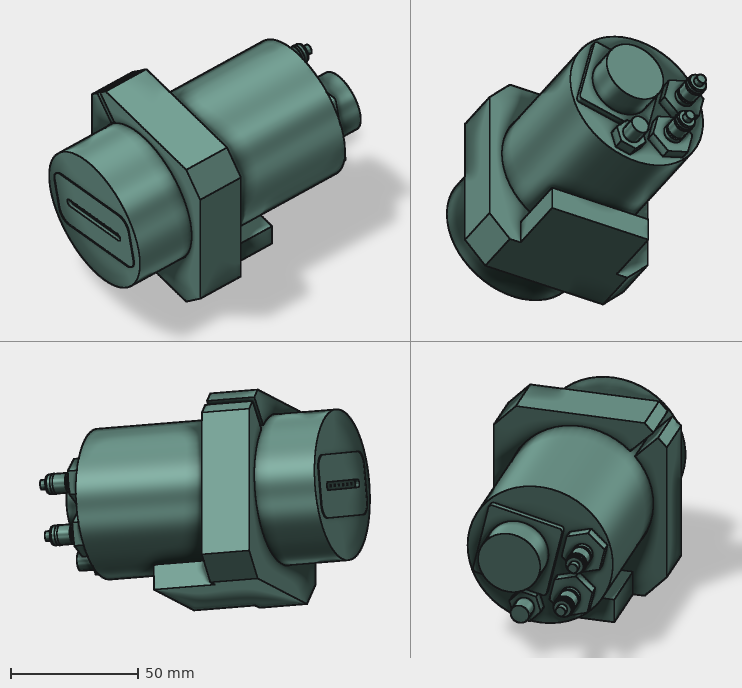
import cadquery as cq
import math

TOTAL_LENGTH = 120.1
TILT = 13.0

HOUSING_DIAMETER = 59.7
BARREL_FRONT = 0.4
BARREL_BACK = 101.3
PLATE_LENGTH = 50.0
PLATE_HEIGHT = 25.0
PLATE_CORNER_RADIUS = 5.5
SLOT_LENGTH = 35.5
SLOT_WIDTH = 3.2
SLOT_DEPTH = 1.7
PINHOLE_COUNT = 7
PINHOLE_PITCH = 4.6
PINHOLE_DIAMETER = 0.76
PINHOLE_DEPTH = 1.2

SOCKET_X = 8.8
FLANGE_SIZE = 31.0
FLANGE_CORNER_RADIUS = 1.5
FLANGE_THICKNESS = 2.5
SOCKET_DIAMETER = 25.5
SOCKET_REACH = 14.2

CONNECTOR_PLACES = [(-17.2, 9.6), (-16.7, -10.7)]
NUT_ACROSS_FLATS = 16.0
NUT_THICKNESS = 4.3
NUT_TURN = 30.0
CONNECTOR_DIAMETER = 7.9
NECK_DIAMETER = 4.8
NECK_EDGE_DIAMETER = 5.3
NECK_START = 6.4
NECK_END = 7.5
BEAD_DIAMETER = 8.2
BEAD_START = 12.7
BEAD_END = 13.8
NOSE_START = 15.2
NOSE_END = 16.0
NOSE_DIAMETER = 7.2
TIP_DIAMETER = 4.0
TIP_END = TOTAL_LENGTH - BARREL_BACK

PLUG_Z = -21.7
PLUG_DIAMETER = 7.6
PLUG_REACH = 11.9
PLUG_BASE_ACROSS_FLATS = 11.5
PLUG_BASE_THICKNESS = 4.6

CLAMP_WIDTH = 71.1
CLAMP_HEIGHT = 76.0
CLAMP_FRONT = 25.7
CLAMP_THICKNESS = 20.0
CLAMP_DROP = 2.9
CORNER_X = 9.1
CORNER_Z = 9.5
BORE_CLEARANCE = 0.4
BORE_DIAMETER = HOUSING_DIAMETER + BORE_CLEARANCE
SPLIT_WIDTH = 2.8
SPLIT_ANGLE = -45.0
SPLIT_LENGTH = 30.0
FOOT_WIDTH = 43.2
FOOT_HEIGHT = 10.0
FOOT_LENGTH = 25.8

HEX_CORNER_RATIO = 2 / math.sqrt(3)


def facing_front(y):
    """Workplane at depth y with local axes X and Z, so a negative extrusion runs towards +Y."""
    return cq.Workplane("XZ", origin=(0, y, 0))


def tilted(details):
    """Details turned about the housing axis from upright to their final tilt."""
    return details.rotate((0, 0, 0), (0, 1, 0), -TILT)


def make_window_plate():
    plate = facing_front(0).rect(PLATE_LENGTH, PLATE_HEIGHT).extrude(-BARREL_FRONT)
    return plate.edges("|Y").fillet(PLATE_CORNER_RADIUS)


def make_slot_and_pinholes():
    slot = facing_front(0).slot2D(SLOT_LENGTH, SLOT_WIDTH).extrude(-SLOT_DEPTH)
    pinholes = (
        facing_front(SLOT_DEPTH)
        .rarray(PINHOLE_PITCH, 1.2, PINHOLE_COUNT, 1)
        .circle(PINHOLE_DIAMETER / 2)
        .extrude(-PINHOLE_DEPTH)
    )
    return slot.union(pinholes)


def make_socket():
    flange = facing_front(BARREL_BACK).center(SOCKET_X, 0).rect(FLANGE_SIZE, FLANGE_SIZE)
    flange = flange.extrude(-FLANGE_THICKNESS).edges("|Y").fillet(FLANGE_CORNER_RADIUS)
    shell = facing_front(BARREL_BACK).center(SOCKET_X, 0).circle(SOCKET_DIAMETER / 2)
    return flange.union(shell.extrude(-SOCKET_REACH))


def make_hexagon(across_flats, thickness, turn=0):
    """Hexagonal prism standing on the barrel back, centred on the housing axis."""
    hexagon = facing_front(BARREL_BACK).polygon(6, across_flats * HEX_CORNER_RATIO).extrude(-thickness)
    return hexagon.rotate((0, 0, 0), (0, 1, 0), turn)


def make_connector():
    """Hexagonal nut and turned barrel with an arced neck, a rounded bead and a tapered nose."""
    radius = CONNECTOR_DIAMETER / 2
    neck_radius = NECK_DIAMETER / 2
    neck_edge_radius = NECK_EDGE_DIAMETER / 2
    neck_middle = (NECK_START + NECK_END) / 2
    bead_middle = (BEAD_START + BEAD_END) / 2
    turned = (
        cq.Workplane("XY", origin=(0, BARREL_BACK, 0))
        .lineTo(radius, 0)
        .lineTo(radius, NECK_START)
        .lineTo(neck_edge_radius, NECK_START)
        .threePointArc((neck_radius, neck_middle), (neck_edge_radius, NECK_END))
        .lineTo(radius, NECK_END)
        .lineTo(radius, BEAD_START)
        .threePointArc((BEAD_DIAMETER / 2, bead_middle), (radius, BEAD_END))
        .lineTo(radius, NOSE_START)
        .lineTo(NOSE_DIAMETER / 2, NOSE_END)
        .lineTo(TIP_DIAMETER / 2, NOSE_END)
        .lineTo(TIP_DIAMETER / 2, TIP_END)
        .lineTo(0, TIP_END)
        .close()
        .revolve(360, (0, 0, 0), (0, 1, 0))
    )
    nut = make_hexagon(NUT_ACROSS_FLATS, NUT_THICKNESS, NUT_TURN)
    return nut.union(turned)


def make_plug():
    base = make_hexagon(PLUG_BASE_ACROSS_FLATS, PLUG_BASE_THICKNESS)
    plug = facing_front(BARREL_BACK).circle(PLUG_DIAMETER / 2).extrude(-PLUG_REACH)
    return base.union(plug).translate((0, 0, PLUG_Z))


def make_housing():
    details = make_window_plate().union(make_socket()).union(make_plug())
    connector = make_connector()
    for x, z in CONNECTOR_PLACES:
        details = details.union(connector.translate((x, 0, z)))
    barrel = facing_front(BARREL_FRONT).circle(HOUSING_DIAMETER / 2).extrude(BARREL_FRONT - BARREL_BACK)
    return barrel.union(tilted(details)).cut(tilted(make_slot_and_pinholes()))


def make_clamp():
    half_width = CLAMP_WIDTH / 2
    half_height = CLAMP_HEIGHT / 2
    inner_x = half_width - CORNER_X
    inner_z = half_height - CORNER_Z
    outline = [
        (-half_width, -inner_z),
        (-inner_x, -half_height),
        (inner_x, -half_height),
        (half_width, -inner_z),
        (half_width, inner_z),
        (inner_x, half_height),
        (-inner_x, half_height),
        (-half_width, inner_z),
    ]
    block = facing_front(CLAMP_FRONT).center(0, -CLAMP_DROP).polyline(outline).close()
    block = block.extrude(-CLAMP_THICKNESS)

    foot_middle = -CLAMP_DROP - half_height + FOOT_HEIGHT / 2
    foot = facing_front(CLAMP_FRONT).center(0, foot_middle).rect(FOOT_WIDTH, FOOT_HEIGHT)
    block = block.union(foot.extrude(-CLAMP_THICKNESS - FOOT_LENGTH))

    bore = facing_front(CLAMP_FRONT).circle(BORE_DIAMETER / 2).extrude(-CLAMP_THICKNESS)
    split_x = -half_width + CORNER_X / 2
    split_z = half_height - CORNER_Z / 2 - CLAMP_DROP
    split = (
        facing_front(CLAMP_FRONT)
        .center(split_x, split_z)
        .transformed(rotate=(0, 0, SPLIT_ANGLE))
        .rect(SPLIT_LENGTH, SPLIT_WIDTH)
        .extrude(-CLAMP_THICKNESS)
    )
    return block.cut(bore).cut(split)


housing = make_housing()
clamp = make_clamp()
result = cq.Compound.makeCompound([housing.val(), clamp.val()])